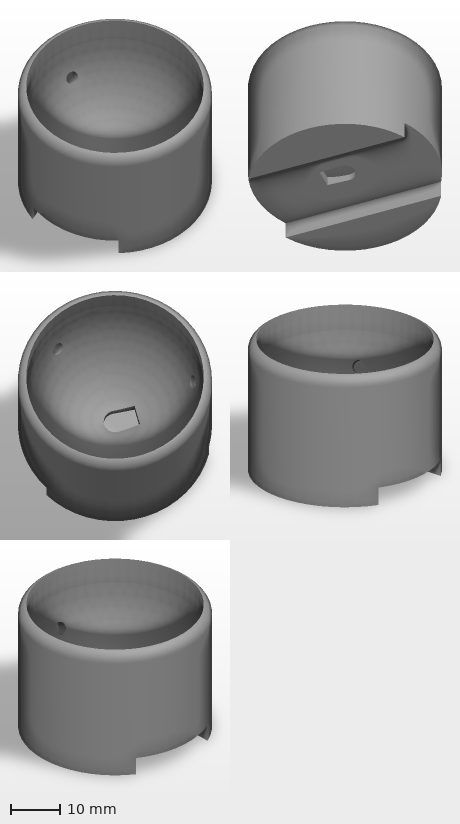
import cadquery as cq
import math

outer_diameter = 39.4
height = 28.7
rim_radius = 2.35

bore_diameter = 36.0
bore_radius = bore_diameter / 2
bore_depth = 5.5
bowl_center_z = height - bore_depth

notch_width = 19.7
notch_height = 3.82

keyhole_radius = 2.35
keyhole_end_width = 4.18
keyhole_round_y = -0.08
keyhole_flat_y = -4.7

socket_diameter = 2.68
socket_count = 3
socket_first_angle = -90.0
socket_tilt = 24.2
socket_depth = 2.15

rim_center_radius = outer_diameter / 2 - rim_radius
rim_loss = rim_radius - math.sqrt(rim_radius**2 - (bore_radius - rim_center_radius) ** 2)
body_height = height + rim_loss


def make_body():
    body = cq.Workplane("XY").circle(outer_diameter / 2).extrude(body_height)
    return body.faces(">Z").edges().fillet(rim_radius)


def make_cavity():
    """Bore and bowl, revolved about the Z axis."""
    arc_offset = bore_radius * 0.5**0.5
    return (
        cq.Workplane("XZ")
        .moveTo(0, body_height)
        .lineTo(bore_radius, body_height)
        .lineTo(bore_radius, bowl_center_z)
        .threePointArc((arc_offset, bowl_center_z - arc_offset), (0, bowl_center_z - bore_radius))
        .close()
        .revolve(360, (0, 0, 0), (0, 1, 0))
    )


def make_notch():
    return cq.Workplane("XY").box(notch_width, outer_diameter, notch_height, centered=(True, True, False))


def make_keyhole():
    """Half-round end toward +Y, with sides tapering toward a flat end at -Y."""
    return (
        cq.Workplane("XY")
        .moveTo(-keyhole_end_width / 2, keyhole_flat_y)
        .lineTo(-keyhole_radius, keyhole_round_y)
        .threePointArc((0, keyhole_round_y + keyhole_radius), (keyhole_radius, keyhole_round_y))
        .lineTo(keyhole_end_width / 2, keyhole_flat_y)
        .close()
        .extrude(bowl_center_z)
    )


def make_socket(angle):
    """Pin from the bowl center, square to the bowl wall, at the given angle about Z."""
    return (
        cq.Workplane("YZ")
        .circle(socket_diameter / 2)
        .extrude(bore_radius + socket_depth)
        .rotate((0, 0, 0), (0, 1, 0), socket_tilt)
        .rotate((0, 0, 0), (0, 0, 1), angle)
        .translate((0, 0, bowl_center_z))
    )


result = make_body().cut(make_cavity()).cut(make_notch()).cut(make_keyhole())
for index in range(socket_count):
    result = result.cut(make_socket(socket_first_angle + index * 360 / socket_count))